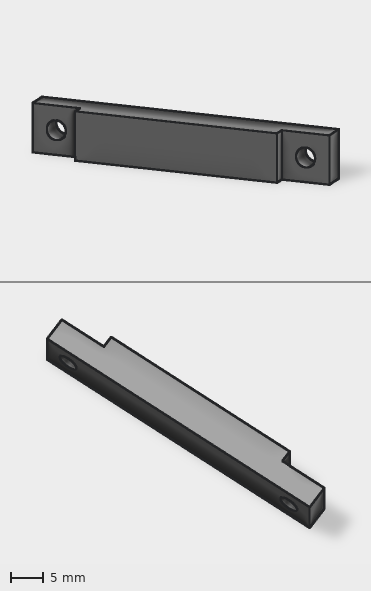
import cadquery as cq

length = 50.0
height = 8.0
bar_thickness = 4.0
pad_thickness = 2.0
ear_length = 8.0
hole_diameter = 3.2

pad_length = length - 2 * ear_length
hole_offset = length / 2 - ear_length / 2


def make_bar():
    """Full-length bar with its front face on Y = 0."""
    return cq.Workplane("XY").box(length, bar_thickness, height, centered=(True, False, True))


def make_pad():
    """Raised pad standing out from the front face of the bar toward -Y."""
    pad = cq.Workplane("XY").box(pad_length, pad_thickness, height, centered=(True, False, True))
    return pad.translate((0, -pad_thickness, 0))


def make_ear_holes():
    """Through holes along Y, one in the middle of each ear."""
    centers = [(-hole_offset, 0), (hole_offset, 0)]
    return cq.Workplane("XZ").pushPoints(centers).circle(hole_diameter / 2).extrude(-bar_thickness)


result = make_bar().union(make_pad()).cut(make_ear_holes())